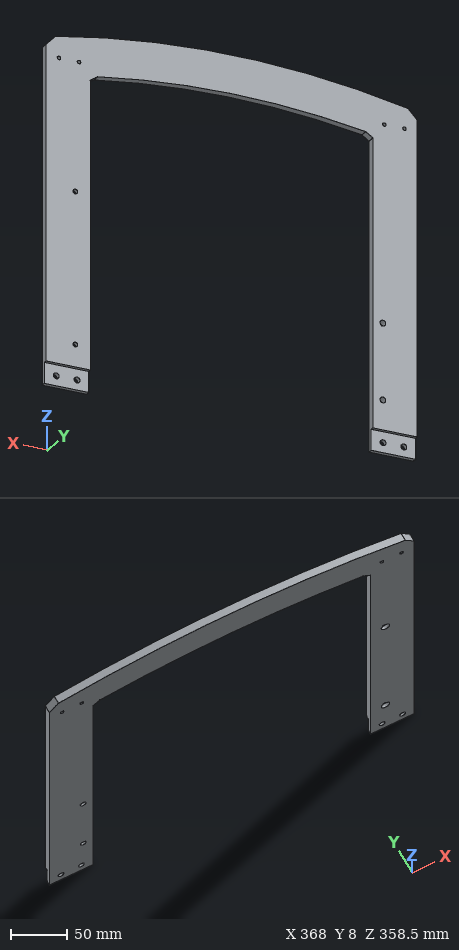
import cadquery as cq

width = 368.0
height = 358.5
thickness = 8.0
half_width = width / 2

leg_width = 44.0
arch_depth = 38.3
outer_radius = 898.0
shoulder_run = 9.2
shoulder_height = 331.5
inner_corner_run = 7.0
inner_side_height = 305.0

foot_height = 20.5
foot_thickness = 4.8

pin_diameter = 3.3
pin_height = 320.5
pin_offsets = (151.2, 171.0)
foot_hole_diameter = 5.5
foot_hole_height = 10.0
foot_hole_offsets = (151.5, 172.2)
left_hole_diameter = 5.5
left_hole_points = [(-149.8, 50.0), (-149.8, 125.5)]
screw_diameter = 4.5
screw_head_diameter = 8.0
screw_head_depth = thickness / 2
screw_points = [(155.0, 42.7), (155.0, 193.0)]


def arc_height(radius, apex, x):
    """Z at x on an arc centred on X = 0 that peaks at apex."""
    return apex - radius + (radius**2 - x**2) ** 0.5


def arched_panel(half_span, radius, apex, corner_run, side_height):
    """Solid panel with straight sides, sloped corners and an arched top."""
    arc_end = half_span - corner_run
    arc_end_height = arc_height(radius, apex, arc_end)
    return (
        cq.Workplane("XZ")
        .moveTo(-half_span, 0)
        .lineTo(-half_span, side_height)
        .lineTo(-arc_end, arc_end_height)
        .threePointArc((0, apex), (arc_end, arc_end_height))
        .lineTo(half_span, side_height)
        .lineTo(half_span, 0)
        .close()
        .extrude(-thickness)
    )


def cylinders(points, diameter, depth):
    """Cutters running back from the front face."""
    return cq.Workplane("XZ").pushPoints(points).circle(diameter / 2).extrude(-depth)


def mirrored_row(offsets, z):
    """Points at the same height on both legs."""
    return [(side * x, z) for side in (-1, 1) for x in offsets]


frame = arched_panel(half_width, outer_radius, height, shoulder_run, shoulder_height)
opening = arched_panel(
    half_width - leg_width,
    outer_radius - arch_depth,
    height - arch_depth,
    inner_corner_run,
    inner_side_height,
)
frame = frame.cut(opening)

foot_rebate = cq.Workplane("XY").box(width, thickness, foot_height, centered=(True, False, False))
frame = frame.cut(foot_rebate.translate((0, foot_thickness, 0)))

pin_points = mirrored_row(pin_offsets, pin_height)
foot_hole_points = mirrored_row(foot_hole_offsets, foot_hole_height)
frame = frame.cut(cylinders(pin_points, pin_diameter, thickness))
frame = frame.cut(cylinders(foot_hole_points, foot_hole_diameter, thickness))
frame = frame.cut(cylinders(left_hole_points, left_hole_diameter, thickness))

frame = frame.cut(cylinders(screw_points, screw_diameter, thickness))
frame = frame.cut(cylinders(screw_points, screw_head_diameter, screw_head_depth))

result = frame